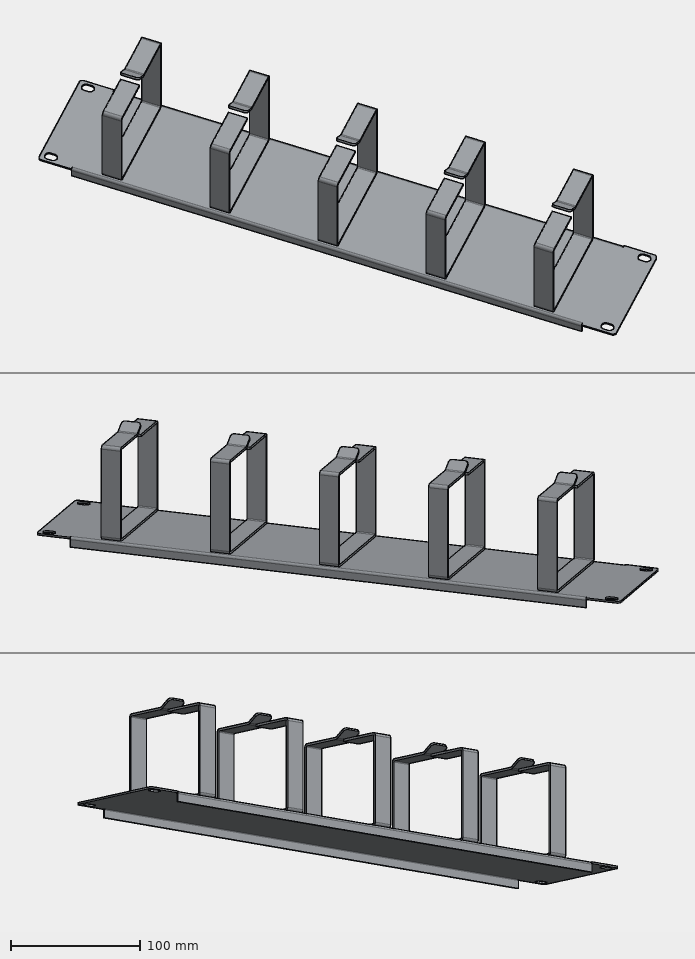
import cadquery as cq
import math

PANEL_LENGTH = 482.5
PANEL_WIDTH = 88.0
PANEL_THICKNESS = 1.5
PANEL_CORNER_RADIUS = 3.0
FLANGE_LENGTH = 426.5
FLANGE_DEPTH = 8.0
FLANGE_BEND_RADIUS = 2.0

SLOT_LENGTH = 10.0
SLOT_WIDTH = 6.8
SLOT_SPACING_X = 465.0
SLOT_SPACING_Y = 76.0

RING_COUNT = 5
RING_PITCH = 90.0
STRIP_WIDTH = 16.0
STRIP_THICKNESS = 1.9
RING_DEPTH = 83.0
RING_BEND_RADIUS = 2.65
LOW_ARM_TOP = 74.0
LOW_ARM_END_Y = -4.0
HIGH_ARM_TOP = 76.5
LIP_START_Y = 4.5
LIP_TOP = 83.0
LIP_ANGLE = math.radians(33)
LIP_BEND_RADIUS = 4.0
LIP_CORNER_RADIUS = 3.0


def make_panel():
    plate = (
        cq.Workplane("XY")
        .box(PANEL_LENGTH, PANEL_WIDTH, PANEL_THICKNESS, centered=(True, True, False))
        .translate((0, 0, -PANEL_THICKNESS))
        .edges("|Z")
        .fillet(PANEL_CORNER_RADIUS)
    )

    channel = (
        cq.Workplane("XY")
        .box(FLANGE_LENGTH, PANEL_WIDTH, FLANGE_DEPTH, centered=(True, True, False))
        .translate((0, 0, -FLANGE_DEPTH))
        .edges("|X and >Z")
        .fillet(FLANGE_BEND_RADIUS)
    )
    inside_depth = FLANGE_DEPTH - PANEL_THICKNESS
    inside = (
        cq.Workplane("XY")
        .box(FLANGE_LENGTH, PANEL_WIDTH - 2 * PANEL_THICKNESS, inside_depth, centered=(True, True, False))
        .translate((0, 0, -FLANGE_DEPTH))
        .edges("|X and >Z")
        .fillet(FLANGE_BEND_RADIUS - PANEL_THICKNESS)
    )
    channel = channel.cut(inside)

    end_plates = plate.cut(cq.Workplane("XY").box(FLANGE_LENGTH, PANEL_WIDTH, FLANGE_DEPTH))
    slots = (
        cq.Workplane("XY")
        .rarray(SLOT_SPACING_X, SLOT_SPACING_Y, 2, 2)
        .slot2D(SLOT_LENGTH, SLOT_WIDTH)
        .extrude(-PANEL_THICKNESS)
    )
    return channel.union(end_plates).cut(slots)


def make_ring(center_x):
    half_thickness = STRIP_THICKNESS / 2
    bend = RING_BEND_RADIUS - half_thickness
    side = RING_DEPTH / 2 - half_thickness
    base = half_thickness
    low_arm = LOW_ARM_TOP - half_thickness
    high_arm = HIGH_ARM_TOP - half_thickness

    lip_rise = LIP_TOP - half_thickness * math.cos(LIP_ANGLE) - high_arm
    lip_end_y = LIP_START_Y - lip_rise / math.tan(LIP_ANGLE)
    lip_setback = LIP_BEND_RADIUS * math.tan(LIP_ANGLE / 2)

    middle_line = (
        cq.Workplane("YZ")
        .moveTo(LOW_ARM_END_Y, low_arm)
        .lineTo(-side + bend, low_arm)
        .tangentArcPoint((-side, low_arm - bend), relative=False)
        .lineTo(-side, base + bend)
        .tangentArcPoint((-side + bend, base), relative=False)
        .lineTo(side - bend, base)
        .tangentArcPoint((side, base + bend), relative=False)
        .lineTo(side, high_arm - bend)
        .tangentArcPoint((side - bend, high_arm), relative=False)
        .lineTo(LIP_START_Y + lip_setback, high_arm)
        .tangentArcPoint(
            (
                LIP_START_Y - lip_setback * math.cos(LIP_ANGLE),
                high_arm + lip_setback * math.sin(LIP_ANGLE),
            ),
            relative=False,
        )
        .lineTo(lip_end_y, high_arm + lip_rise)
    )
    strip_section = cq.Workplane("XZ", origin=(0, LOW_ARM_END_Y, low_arm)).rect(STRIP_WIDTH, STRIP_THICKNESS)
    ring = strip_section.sweep(middle_line)

    lip_normal = cq.Vector(0, math.sin(LIP_ANGLE), math.cos(LIP_ANGLE))
    ring = ring.edges(cq.selectors.ParallelDirSelector(lip_normal)).fillet(LIP_CORNER_RADIUS)
    return ring.translate((center_x, 0, 0))


panel = make_panel()

rings = []
for index in range(RING_COUNT):
    ring_x = (index - (RING_COUNT - 1) / 2) * RING_PITCH
    rings.append(make_ring(ring_x))

result = cq.Compound.makeCompound([panel.val(), *[ring.val() for ring in rings]])